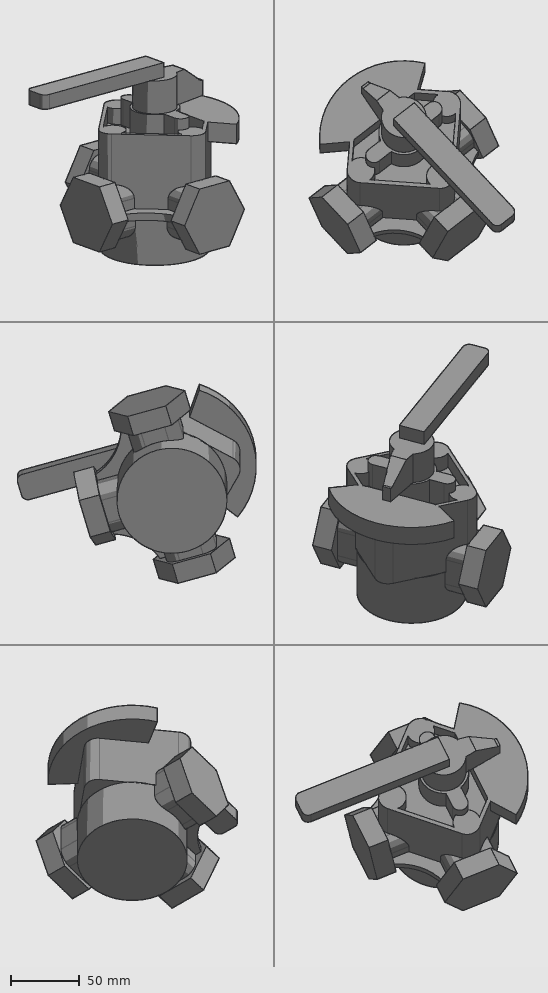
import cadquery as cq
import math

PORT_AXIS_Z = 40.0
BODY_TOP_Z = 99.7
HUB_TOP_Z = 108.2
STEM_TOP_Z = 133.5
OVERALL_HEIGHT = 144.5

BASE_DIAMETER = 79.8
BODY_SIDE = 78.0
BODY_CORNER_RADIUS = 10.0
RECESS_WALL = 3.0
RECESS_DEPTH = 12.0
RECESS_REAR_Y = 21.9

PORT_REACH = 66.0
NUT_THICKNESS = 15.2
NUT_ACROSS_FLATS = 50.0
NECK_WIDTH = 37.8
NECK_HEIGHT = 41.7
NECK_CORNER_RADIUS = 10.0
PORT_DIRECTIONS = (-90, 180, 0)

WEB_THICKNESS = 5.6
WEB_HALF_WIDTH = 23.7
WEB_ARC_SAG = 4.6

DIAL_RADIUS = 61.2
DIAL_EDGE_ANGLE = 35
DIAL_THICKNESS = 15.0

HUB_DIAMETER = 36.4
ARM_SPAN = 69.0
ARM_WIDTH = 12.0
STEM_DIAMETER = 32.5
POINTER_REACH = 43.5
POINTER_ROOT_WIDTH = 20.0
POINTER_TIP_WIDTH = 6.4
POINTER_NOSE_Z = 119.8
POINTER_NOSE_LENGTH = 1.8
POINTER_SLOPE_START_Y = 23.0
HANDLE_REACH = 115.3
HANDLE_WIDTH = 20.0
HANDLE_CORNER_RADIUS = 5.0

NUT_INNER_FACE = PORT_REACH - NUT_THICKNESS
RECESS_FLOOR_Z = BODY_TOP_Z - RECESS_DEPTH
CORNER_CENTER = (BODY_SIDE / 2 - BODY_CORNER_RADIUS) * math.sqrt(2)


def plane_at(z):
    return cq.Workplane("XY").workplane(offset=z)


def turned_square(side, bottom_z, top_z):
    return plane_at(bottom_z).transformed(rotate=(0, 0, 45)).rect(side, side).extrude(top_z - bottom_z)


def make_body():
    base = plane_at(0).circle(BASE_DIAMETER / 2).extrude(PORT_AXIS_Z)
    block = turned_square(BODY_SIDE, PORT_AXIS_Z, BODY_TOP_Z).edges("|Z").fillet(BODY_CORNER_RADIUS)
    return base.union(block)


def make_dial():
    angle = math.radians(DIAL_EDGE_ANGLE)
    edge_x = DIAL_RADIUS * math.cos(angle)
    edge_y = DIAL_RADIUS * math.sin(angle)
    return (
        plane_at(BODY_TOP_Z - DIAL_THICKNESS)
        .lineTo(edge_x, edge_y)
        .threePointArc((0, DIAL_RADIUS), (-edge_x, edge_y))
        .close()
        .extrude(DIAL_THICKNESS)
    )


def make_recess():
    recess = turned_square(BODY_SIDE - 2 * RECESS_WALL, RECESS_FLOOR_Z, BODY_TOP_Z)
    rear_solid = (
        plane_at(RECESS_FLOOR_Z)
        .center(0, RECESS_REAR_Y + BODY_SIDE / 2)
        .rect(2 * BODY_SIDE, BODY_SIDE)
        .extrude(RECESS_DEPTH)
    )
    bosses = (
        plane_at(RECESS_FLOOR_Z)
        .pushPoints([(-CORNER_CENTER, 0), (CORNER_CENTER, 0), (0, -CORNER_CENTER)])
        .circle(BODY_CORNER_RADIUS)
        .extrude(RECESS_DEPTH)
    )
    recess = recess.cut(rear_solid).cut(bosses)
    return cq.Workplane(max(recess.solids().vals(), key=lambda solid: solid.Volume()))


def make_port(direction):
    axis_plane = cq.Workplane("YZ", origin=(0, 0, PORT_AXIS_Z))
    neck = (
        axis_plane.rect(NECK_WIDTH, NECK_HEIGHT)
        .extrude(NUT_INNER_FACE)
        .edges("|X")
        .fillet(NECK_CORNER_RADIUS)
    )
    across_corners = NUT_ACROSS_FLATS / math.cos(math.pi / 6)
    nut = (
        axis_plane.workplane(offset=NUT_INNER_FACE)
        .polygon(6, across_corners)
        .extrude(NUT_THICKNESS)
    )
    return neck.union(nut).rotate((0, 0, 0), (0, 0, 1), direction)


def make_web():
    reach = NUT_INNER_FACE
    half = WEB_HALF_WIDTH
    return (
        plane_at(PORT_AXIS_Z - WEB_THICKNESS / 2)
        .moveTo(-reach, 0)
        .lineTo(-reach, -half)
        .sagittaArc((-half, -reach), WEB_ARC_SAG)
        .lineTo(half, -reach)
        .sagittaArc((reach, -half), WEB_ARC_SAG)
        .lineTo(reach, 0)
        .close()
        .extrude(WEB_THICKNESS)
    )


def make_hub():
    height = HUB_TOP_Z - RECESS_FLOOR_Z
    disc = plane_at(RECESS_FLOOR_Z).circle(HUB_DIAMETER / 2).extrude(height)
    arms = plane_at(RECESS_FLOOR_Z).slot2D(ARM_SPAN, ARM_WIDTH).extrude(height)
    return disc.union(arms)


def make_stem():
    return plane_at(HUB_TOP_Z).circle(STEM_DIAMETER / 2).extrude(STEM_TOP_Z - HUB_TOP_Z)


def make_pointer():
    taper = (
        plane_at(HUB_TOP_Z)
        .polyline([
            (-POINTER_ROOT_WIDTH / 2, 0),
            (POINTER_ROOT_WIDTH / 2, 0),
            (POINTER_TIP_WIDTH / 2, POINTER_REACH),
            (-POINTER_TIP_WIDTH / 2, POINTER_REACH),
        ])
        .close()
        .extrude(STEM_TOP_Z - HUB_TOP_Z)
    )
    side_profile = (
        cq.Workplane("YZ")
        .polyline([
            (0, HUB_TOP_Z),
            (POINTER_REACH, HUB_TOP_Z),
            (POINTER_REACH, POINTER_NOSE_Z),
            (POINTER_REACH - POINTER_NOSE_LENGTH, POINTER_NOSE_Z),
            (POINTER_SLOPE_START_Y, STEM_TOP_Z),
            (0, STEM_TOP_Z),
        ])
        .close()
        .extrude(POINTER_ROOT_WIDTH, both=True)
    )
    return taper.intersect(side_profile)


def make_handle():
    return (
        plane_at(STEM_TOP_Z)
        .center(0, -HANDLE_REACH / 2)
        .rect(HANDLE_WIDTH, HANDLE_REACH)
        .extrude(OVERALL_HEIGHT - STEM_TOP_Z)
        .edges("|Z and <Y")
        .fillet(HANDLE_CORNER_RADIUS)
    )


result = make_body().union(make_dial()).cut(make_recess()).union(make_web())
for port_direction in PORT_DIRECTIONS:
    result = result.union(make_port(port_direction))
for feature in (make_hub(), make_stem(), make_pointer(), make_handle()):
    result = result.union(feature)